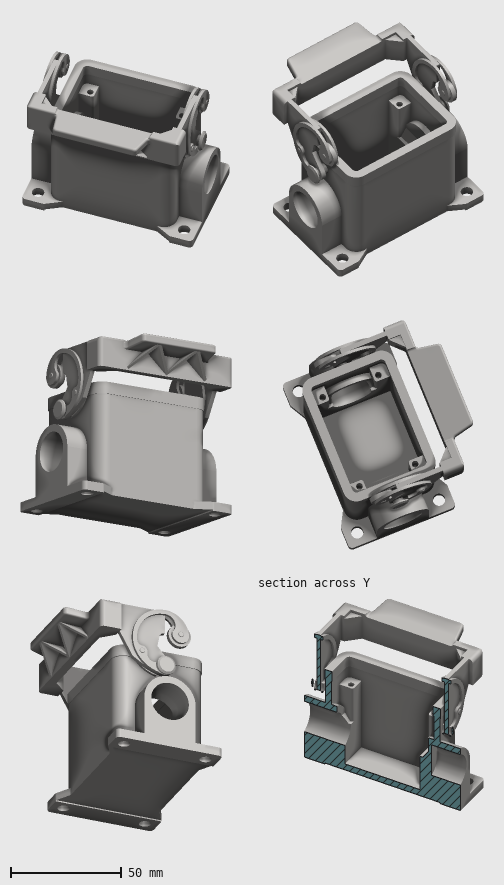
import cadquery as cq
import math

LENGTH_X = 82.0
PAD_DEPTH_Y = 52.0
PAD_TOP_Z = 4.2
PAD_FOOT_X = 30.0
PAD_SHOULDER_X = 30.25
PAD_CORNER_RADIUS = 2.0
PAD_WAIST_X = 22.65
MOUNT_HOLE_X = 35.1
MOUNT_HOLE_Y = 20.0
MOUNT_HOLE_DIAMETER = 5.6

BODY_X = 60.2
BODY_Y = 43.6
BODY_BOTTOM_Z = 0.6
BODY_TOP_Z = 53.1
BODY_CORNER_RADIUS = 6.1
RIM_OVERHANG = 0.35
RIM_HEIGHT = 5.5

CAVITY_X = 52.7
CAVITY_Y = 36.0
CAVITY_CORNER_RADIUS = 2.0
CAVITY_RELIEF = 0.4
CAVITY_FLOOR_Z = PAD_TOP_Z
POST_INNER_X = 19.6
POST_INNER_Y = 11.1
POST_TOP_Z = 41.3
POST_EDGE_RADIUS = 1.2
SCREW_X = 22.1
SCREW_Y = 13.6
SCREW_DIAMETER = 3.0
SCREW_DEPTH = 12.0
SCREW_TIP_ANGLE = 118.0

ENTRY_AXIS_Z = 22.8
ENTRY_RADIUS = 12.6
BORE_RADIUS = 9.25
ENTRY_INNER_X = 23.9
RAMP_FOOT_X = 21.1
RAMP_RISE = 4.0
BLIND_BORE_FLOOR = 2.0

PIVOT_Z = 43.1
PIN_RADIUS = 2.5
PIN_HEAD_RADIUS = 4.55
PIN_HEAD_INNER_X = 36.3
PIN_HEAD_OUTER_X = 37.6
PIN_HEAD_CHAMFER_RADIAL = 0.95
PIN_HEAD_CHAMFER_AXIAL = 0.7
PIN_ROOT_X = 29.0

ARM_MID_X = 33.55
ARM_THICKNESS = 2.2
ARM_LOBE_RADIUS = 4.0
ARM_EDGE_Y = 0.2
ARM_NOSE_TOP = (ARM_EDGE_Y, 60.2)
ARM_NOSE_MIDDLE = (-1.6, 59.6)
ARM_NOSE_END = (-2.5, 58.2)
ARM_WAIST = (-3.5, 53.1)
ARM_HEEL_MIDDLE = (-9.8, 42.4)
ARM_HEEL = (-15.7, 45.9)
STRIP_THICKNESS = 1.35
STRIP_TAIL_ANGLE = 268
HOOK_EXIT_ANGLE = -25
ROLLER_ENTRY_ANGLE = 172
STRIP_OUTER_RADIUS = 16.2
STRIP_INNER_RADIUS = 14.1
STRIP_CENTRE_Z = 55.2
HOOK_OUTER_RADIUS = 11.5
STRIP_END_RADIUS = 4.2
STRIP_END_CLEARANCE = 0.3
HOOK_INNER_RADIUS = 4.8
EYE_BLEND_RADIUS = 2.5
NECK_DROP = 1.2
ROLLER_RADIUS = 5.5
ROLLER_Y = 7.5
ROLLER_Z = 60.5
RIVET_Y = -11.5
RIVET_Z = 48.7
RIVET_EYE_RADIUS = 2.5
STRIP_NECK_RADIUS = 3.5
RIVET_RADIUS = 1.35
RIVET_PROUD = 0.35
RIVET_CHAMFER = 0.25

BAR_X = 73.5
BAR_BACK_Y = -22.05
BAR_FRONT_Y = -32.15
BAR_BOTTOM_Z = 57.1
BAR_TOP_Z = 71.15
BAR_WALL_BACK_Y = -27.9
BAR_END_INNER_X = 30.6
BAR_END_RADIUS = 2.1
BAR_FRONT_RADIUS = 1.0
GUSSET_LEG = 5.9
GUSSET_DROP = 1.5

LIP_TILT = 10.0
LIP_ROOT_Z = 70.66
LIP_REACH = 11.05
LIP_THICKNESS = 4.0
LIP_ROOT_HALF_X = 22.2
LIP_END_HALF_X = 20.0
LIP_ROOT_RADIUS = 2.0
LIP_FLARE = 2.1
LIP_CORNER_RADIUS = 1.8
LIP_TOP_RADIUS = 1.0
RECESS_HALF_X = 23.0
RECESS_RADIUS = 1.2
LIP_BOTTOM_RADIUS = 0.8

RIB_THICKNESS = 1.2
RIB_PITCH_X = 10.5
RIB_FOOT_Z = 58.3
RIB_TOE_Z = 57.7
RIB_SLOPE = 47.5
RIB_DRAFT = 6.0
RIB_FOOT_OVERRUN = 0.3

LENGTH_TOLERANCE = 0.001
SIDES = (-1, 1)


def box_between(x0, x1, y0, y1, z0, z1):
    """Axis-aligned box given by its limits."""
    size = (abs(x1 - x0), abs(y1 - y0), abs(z1 - z0))
    corner = (min(x0, x1), min(y0, y1), min(z0, z1))
    return cq.Workplane("XY").box(*size, centered=False).translate(corner)


def rounded_block(size_x, size_y, z0, z1, radius):
    """Centred block with rounded vertical edges."""
    block = box_between(-size_x / 2, size_x / 2, -size_y / 2, size_y / 2, z0, z1)
    return block.edges("|Z").fillet(radius)


def x_cylinder(radius, x0, x1, y, z):
    """Cylinder along X from x0 to x1."""
    plane = cq.Workplane("YZ", origin=(min(x0, x1), y, z))
    return plane.circle(radius).extrude(abs(x1 - x0))


def point_at(centre, radius, angle):
    """Point on a circle, angle in degrees."""
    turn = math.radians(angle)
    return (centre[0] + radius * math.cos(turn), centre[1] + radius * math.sin(turn))


def direction(start, end):
    """Angle in degrees of the line from start to end."""
    return math.degrees(math.atan2(end[1] - start[1], end[0] - start[0]))


def make_pads():
    """Flange plate that widens into four drilled pads, relieved underneath between its ends."""
    half_x = LENGTH_X / 2
    half_y = PAD_DEPTH_Y / 2
    plate = box_between(-half_x, half_x, -half_y, half_y, 0, PAD_TOP_Z)
    for side in SIDES:
        waist = (
            cq.Workplane("XY")
            .moveTo(-PAD_SHOULDER_X, side * half_y)
            .lineTo(-PAD_WAIST_X, side * BODY_Y / 2)
            .lineTo(PAD_WAIST_X, side * BODY_Y / 2)
            .lineTo(PAD_SHOULDER_X, side * half_y)
            .close()
            .extrude(PAD_TOP_Z)
        )
        plate = plate.cut(waist)
    plate = plate.edges("|Z").fillet(PAD_CORNER_RADIUS)
    relief = box_between(-PAD_FOOT_X, PAD_FOOT_X, -half_y, half_y, 0, BODY_BOTTOM_Z)
    holes = (
        cq.Workplane("XY")
        .rect(2 * MOUNT_HOLE_X, 2 * MOUNT_HOLE_Y, forConstruction=True)
        .vertices()
        .circle(MOUNT_HOLE_DIAMETER / 2)
        .extrude(PAD_TOP_Z)
    )
    return plate.cut(relief).cut(holes)


def make_shell():
    """Outside of the body, with an overhanging rim."""
    rim_z = BODY_TOP_Z - RIM_HEIGHT
    body = rounded_block(BODY_X, BODY_Y, BODY_BOTTOM_Z, rim_z, BODY_CORNER_RADIUS)
    rim = rounded_block(
        BODY_X + 2 * RIM_OVERHANG, BODY_Y + 2 * RIM_OVERHANG, rim_z, BODY_TOP_Z, BODY_CORNER_RADIUS
    )
    return body.union(rim)


def make_cavity():
    """Space inside the body, slightly wider below the rim."""
    rim_z = BODY_TOP_Z - RIM_HEIGHT
    mouth = rounded_block(CAVITY_X, CAVITY_Y, rim_z, BODY_TOP_Z, CAVITY_CORNER_RADIUS)
    chamber = rounded_block(
        CAVITY_X + 2 * CAVITY_RELIEF,
        CAVITY_Y + 2 * CAVITY_RELIEF,
        CAVITY_FLOOR_Z,
        rim_z,
        CAVITY_CORNER_RADIUS + CAVITY_RELIEF,
    )
    return mouth.union(chamber)


def make_entry(side):
    """Arched cable entry standing on the pad, reaching from the end face into the cavity."""
    arch = (
        cq.Workplane("YZ")
        .moveTo(-ENTRY_RADIUS, BODY_BOTTOM_Z)
        .lineTo(-ENTRY_RADIUS, ENTRY_AXIS_Z)
        .threePointArc((0, ENTRY_AXIS_Z + ENTRY_RADIUS), (ENTRY_RADIUS, ENTRY_AXIS_Z))
        .lineTo(ENTRY_RADIUS, BODY_BOTTOM_Z)
        .close()
        .extrude(side * (LENGTH_X / 2 - ENTRY_INNER_X))
    )
    return arch.translate((side * ENTRY_INNER_X, 0, 0))


def make_post(side_x, side_y):
    """Corner post for a contact-insert screw, with a drilled hole."""
    post = box_between(
        side_x * POST_INNER_X,
        side_x * (CAVITY_X / 2 + CAVITY_RELIEF),
        side_y * POST_INNER_Y,
        side_y * (CAVITY_Y / 2 + CAVITY_RELIEF),
        CAVITY_FLOOR_Z,
        POST_TOP_Z,
    )
    inner_corner = cq.selectors.NearestToPointSelector(
        (side_x * POST_INNER_X, side_y * POST_INNER_Y, (CAVITY_FLOOR_Z + POST_TOP_Z) / 2)
    )
    post = post.edges("|Z").edges(inner_corner).fillet(POST_EDGE_RADIUS)
    radius = SCREW_DIAMETER / 2
    tip = radius / math.tan(math.radians(SCREW_TIP_ANGLE / 2))
    drill = (
        cq.Workplane("XZ")
        .moveTo(0, POST_TOP_Z)
        .lineTo(radius, POST_TOP_Z)
        .lineTo(radius, POST_TOP_Z - SCREW_DEPTH)
        .lineTo(0, POST_TOP_Z - SCREW_DEPTH - tip)
        .close()
        .revolve(360, (0, 0), (0, 1))
    )
    return post.cut(drill.translate((side_x * SCREW_X, side_y * SCREW_Y, 0)))


def make_ramp(side):
    """Block between two posts whose top ramps up to the cable entry."""
    return (
        cq.Workplane("XZ", origin=(0, POST_INNER_Y + POST_EDGE_RADIUS, 0))
        .moveTo(side * POST_INNER_X, CAVITY_FLOOR_Z)
        .lineTo(side * POST_INNER_X, ENTRY_AXIS_Z)
        .lineTo(side * RAMP_FOOT_X, ENTRY_AXIS_Z)
        .lineTo(side * ENTRY_INNER_X, ENTRY_AXIS_Z + RAMP_RISE)
        .lineTo(side * ENTRY_INNER_X, CAVITY_FLOOR_Z)
        .close()
        .extrude(2 * (POST_INNER_Y + POST_EDGE_RADIUS))
    )


def make_housing():
    """Hollow body with its flange, cable entries, ramps and screw posts."""
    housing = make_shell().union(make_pads()).cut(make_cavity())
    for side in SIDES:
        housing = housing.union(make_entry(side)).union(make_ramp(side))
        for side_y in SIDES:
            housing = housing.union(make_post(side, side_y))
    open_bore = x_cylinder(BORE_RADIUS, POST_INNER_X, LENGTH_X / 2, 0, ENTRY_AXIS_Z)
    blind_end = -ENTRY_INNER_X - BLIND_BORE_FLOOR
    blind_bore = x_cylinder(BORE_RADIUS, -LENGTH_X / 2, blind_end, 0, ENTRY_AXIS_Z)
    return housing.cut(open_bore).cut(blind_bore)


def make_pin():
    """Pivot pin with a chamfered head, standing on the body's end wall."""
    rim_x = PIN_HEAD_OUTER_X - PIN_HEAD_CHAMFER_AXIAL
    return (
        cq.Workplane("XY")
        .moveTo(PIN_ROOT_X, 0)
        .lineTo(PIN_ROOT_X, PIN_RADIUS)
        .lineTo(PIN_HEAD_INNER_X, PIN_RADIUS)
        .lineTo(PIN_HEAD_INNER_X, PIN_HEAD_RADIUS)
        .lineTo(rim_x, PIN_HEAD_RADIUS)
        .lineTo(PIN_HEAD_OUTER_X, PIN_HEAD_RADIUS - PIN_HEAD_CHAMFER_RADIAL)
        .lineTo(PIN_HEAD_OUTER_X, 0)
        .close()
        .revolve(360, (0, 0), (1, 0))
        .translate((0, 0, PIVOT_Z))
    )


def make_arm_plate():
    """Central plate from the pivot up to the crossbar."""
    lobe_radius = ARM_LOBE_RADIUS
    pivot = (0, PIVOT_Z)
    lobe_start = 45
    lobe_end = -90
    flank = point_at(pivot, lobe_radius, lobe_start)
    return (
        cq.Workplane("YZ", origin=(ARM_MID_X - ARM_THICKNESS / 2, 0, 0))
        .moveTo(ARM_EDGE_Y, BAR_TOP_Z)
        .lineTo(*ARM_NOSE_TOP)
        .threePointArc(ARM_NOSE_MIDDLE, ARM_NOSE_END)
        .lineTo(*ARM_WAIST)
        .lineTo(*flank)
        .threePointArc(
            point_at(pivot, lobe_radius, (lobe_start + lobe_end) / 2),
            point_at(pivot, lobe_radius, lobe_end),
        )
        .threePointArc(ARM_HEEL_MIDDLE, ARM_HEEL)
        .lineTo(BAR_BACK_Y, BAR_BOTTOM_Z)
        .lineTo(BAR_BACK_Y - BAR_END_RADIUS, BAR_BOTTOM_Z)
        .lineTo(BAR_BACK_Y - BAR_END_RADIUS, BAR_TOP_Z)
        .close()
        .extrude(ARM_THICKNESS)
    )


def make_strip_outline():
    """Hooked strip profile, solid from the roller end round to the pivot pin."""
    centre = (0, STRIP_CENTRE_Z)
    roller = (ROLLER_Y, ROLLER_Z)
    outer_hook = (0, STRIP_CENTRE_Z + STRIP_OUTER_RADIUS - HOOK_OUTER_RADIUS)
    inner_hook = (0, STRIP_CENTRE_Z + STRIP_INNER_RADIUS - HOOK_INNER_RADIUS)
    eye = (RIVET_Y, RIVET_Z)
    eye_blend = (RIVET_Y, RIVET_Z + RIVET_EYE_RADIUS + EYE_BLEND_RADIUS)
    neck = (RIVET_Y + RIVET_EYE_RADIUS + STRIP_NECK_RADIUS, RIVET_Z - NECK_DROP)

    roller_out = direction(outer_hook, roller)
    tail = point_at(centre, STRIP_OUTER_RADIUS, STRIP_TAIL_ANGLE)
    blend_start = (-math.sqrt(STRIP_INNER_RADIUS**2 - (eye_blend[1] - STRIP_CENTRE_Z) ** 2), eye_blend[1])
    return (
        cq.Workplane("YZ")
        .moveTo(*tail)
        .threePointArc(point_at(centre, STRIP_OUTER_RADIUS, 180), point_at(centre, STRIP_OUTER_RADIUS, 90))
        .threePointArc(
            point_at(outer_hook, HOOK_OUTER_RADIUS, (90 + roller_out) / 2),
            point_at(outer_hook, HOOK_OUTER_RADIUS, roller_out),
        )
        .threePointArc(
            point_at(roller, STRIP_END_RADIUS, 270),
            point_at(roller, STRIP_END_RADIUS, ROLLER_ENTRY_ANGLE),
        )
        .lineTo(*point_at(inner_hook, HOOK_INNER_RADIUS, HOOK_EXIT_ANGLE))
        .threePointArc(
            point_at(inner_hook, HOOK_INNER_RADIUS, (90 + HOOK_EXIT_ANGLE) / 2),
            point_at(inner_hook, HOOK_INNER_RADIUS, 90),
        )
        .threePointArc(point_at(centre, STRIP_INNER_RADIUS, 135), blend_start)
        .threePointArc(
            point_at(eye_blend, EYE_BLEND_RADIUS, 225), point_at(eye_blend, EYE_BLEND_RADIUS, 270)
        )
        .threePointArc(point_at(eye, RIVET_EYE_RADIUS, 45), point_at(eye, RIVET_EYE_RADIUS, 0))
        .lineTo(*point_at(neck, STRIP_NECK_RADIUS, 180))
        .threePointArc(
            point_at(neck, STRIP_NECK_RADIUS, 225), point_at(neck, STRIP_NECK_RADIUS, 270)
        )
        .lineTo(0, neck[1] - STRIP_NECK_RADIUS)
        .close()
    )


def make_strips():
    """Strips on both faces of the arm plate, ending clear of the pivot pin head."""
    inner_x = ARM_MID_X - ARM_THICKNESS / 2 - STRIP_THICKNESS
    outer_x = ARM_MID_X + ARM_THICKNESS / 2
    outline = make_strip_outline().extrude(STRIP_THICKNESS)
    strips = outline.translate((inner_x, 0, 0)).union(outline.translate((outer_x, 0, 0)))
    clearance = x_cylinder(
        PIN_HEAD_RADIUS + STRIP_END_CLEARANCE, inner_x, outer_x + STRIP_THICKNESS, 0, PIVOT_Z
    )
    return strips.cut(clearance)


def make_rivet(y, z):
    """Rivet through the strips, slightly proud of both."""
    half_length = ARM_THICKNESS / 2 + STRIP_THICKNESS + RIVET_PROUD
    rivet = x_cylinder(RIVET_RADIUS, ARM_MID_X - half_length, ARM_MID_X + half_length, y, z)
    return rivet.faces("<X or >X").chamfer(RIVET_CHAMFER)


def make_arm():
    """Pivot pin, plate, strips, roller and rivets of the +X arm."""
    roller = x_cylinder(
        ROLLER_RADIUS, ARM_MID_X - ARM_THICKNESS / 2, ARM_MID_X + ARM_THICKNESS / 2, ROLLER_Y, ROLLER_Z
    )
    arm = make_arm_plate().union(make_strips()).union(roller).union(make_pin())
    arm = arm.union(make_rivet(ROLLER_Y, ROLLER_Z))
    return arm.union(make_rivet(RIVET_Y, RIVET_Z))


def make_bar():
    """Crossbar with rounded outer edges, a U shape in plan with corner gussets."""
    limits = (-BAR_X / 2, BAR_X / 2, BAR_FRONT_Y, BAR_BACK_Y, BAR_BOTTOM_Z, BAR_TOP_Z)
    bar = box_between(*limits).edges("|Z and <Y").fillet(BAR_END_RADIUS)
    end_round = box_between(*limits).edges("|Y and >Z").fillet(BAR_END_RADIUS)
    front_round = box_between(*limits).edges("|X and >Z and <Y").fillet(BAR_FRONT_RADIUS)
    bar = bar.intersect(end_round).intersect(front_round)
    bar = bar.cut(
        box_between(
            -BAR_END_INNER_X, BAR_END_INNER_X, BAR_WALL_BACK_Y, BAR_BACK_Y, BAR_BOTTOM_Z, BAR_TOP_Z
        )
    )
    for side in SIDES:
        gusset = (
            cq.Workplane("XY", origin=(0, 0, BAR_BOTTOM_Z))
            .moveTo(side * BAR_END_INNER_X, BAR_WALL_BACK_Y)
            .lineTo(side * (BAR_END_INNER_X - GUSSET_LEG), BAR_WALL_BACK_Y)
            .lineTo(side * BAR_END_INNER_X, BAR_BACK_Y)
            .close()
            .extrude(BAR_TOP_Z - GUSSET_DROP - BAR_BOTTOM_Z)
        )
        bar = bar.union(gusset)
    return bar


def lip_slope():
    """Rise of the lip per unit of reach."""
    return math.tan(math.radians(LIP_TILT))


def lip_top_z(y):
    """Height of the lip's sloping top plane."""
    return LIP_ROOT_Z + (BAR_FRONT_Y - y) * lip_slope()


def lip_drop():
    """Vertical distance between the lip's top and bottom planes."""
    return LIP_THICKNESS / math.cos(math.radians(LIP_TILT))


def make_lip_slab():
    """Sloping slab of the lip's thickness, running from the crossbar's back wall outward."""
    end_y = BAR_FRONT_Y - LIP_REACH
    drop = lip_drop()
    return (
        cq.Workplane("YZ", origin=(-BAR_X / 2, 0, 0))
        .moveTo(BAR_WALL_BACK_Y, lip_top_z(BAR_WALL_BACK_Y))
        .lineTo(end_y, lip_top_z(end_y))
        .lineTo(end_y, lip_top_z(end_y) - drop)
        .lineTo(BAR_WALL_BACK_Y, lip_top_z(BAR_WALL_BACK_Y) - drop)
        .close()
        .extrude(BAR_X)
    )


def make_lip():
    """Tilted finger lip, flared where it meets the crossbar."""
    flare_half_x = LIP_ROOT_HALF_X + LIP_FLARE
    end_y = BAR_FRONT_Y - LIP_REACH
    inset_y = (BAR_FRONT_Y + BAR_WALL_BACK_Y) / 2
    plan = (
        cq.Workplane("XY", origin=(0, 0, BAR_BOTTOM_Z))
        .moveTo(-flare_half_x, inset_y)
        .lineTo(-flare_half_x, BAR_FRONT_Y)
        .lineTo(-LIP_ROOT_HALF_X, BAR_FRONT_Y)
        .lineTo(-LIP_END_HALF_X, end_y)
        .lineTo(LIP_END_HALF_X, end_y)
        .lineTo(LIP_ROOT_HALF_X, BAR_FRONT_Y)
        .lineTo(flare_half_x, BAR_FRONT_Y)
        .lineTo(flare_half_x, inset_y)
        .close()
        .extrude(2 * (BAR_TOP_Z - BAR_BOTTOM_Z))
    )
    plan = plan.edges("|Z and <Y").fillet(LIP_CORNER_RADIUS)
    for side in SIDES:
        root = cq.selectors.NearestToPointSelector((side * LIP_ROOT_HALF_X, BAR_FRONT_Y, BAR_TOP_Z))
        plan = plan.edges("|Z").edges(root).fillet(LIP_ROOT_RADIUS)
    lip = plan.intersect(make_lip_slab())
    lip = round_lip_outline(lip, 0, LIP_TOP_RADIUS)
    return round_lip_outline(lip, lip_drop(), LIP_BOTTOM_RADIUS)


def round_lip_outline(lip, offset, radius):
    """Fillet the free outline of the lip's face lying the given height below its top plane."""
    outline = []
    for edge in lip.edges().vals():
        middle = edge.Center()
        on_face = abs(lip_top_z(middle.y) - offset - middle.z) < LENGTH_TOLERANCE
        if on_face and middle.y < BAR_FRONT_Y - LENGTH_TOLERANCE:
            outline.append(edge)
    return lip.newObject(outline).fillet(radius)


def make_lip_recess():
    """Trough in the crossbar's top where the lip's top plane runs back through it."""
    high_z = 2 * BAR_TOP_Z - BAR_BOTTOM_Z
    trough = (
        cq.Workplane("YZ", origin=(-RECESS_HALF_X, 0, 0))
        .moveTo(BAR_BACK_Y, lip_top_z(BAR_BACK_Y))
        .lineTo(BAR_FRONT_Y - LIP_REACH, lip_top_z(BAR_FRONT_Y - LIP_REACH))
        .lineTo(BAR_FRONT_Y - LIP_REACH, high_z)
        .lineTo(BAR_BACK_Y, high_z)
        .close()
        .extrude(2 * RECESS_HALF_X)
    )
    return trough.faces("<Z").edges("<X or >X").fillet(RECESS_RADIUS)


def make_leaning_rib(foot_x):
    """Rib rising at 45 degrees toward +X, cut off along a slope and drafted below that cut."""
    lean = 45
    rise = math.tan(math.radians(RIB_SLOPE))
    draft = math.tan(math.radians(RIB_DRAFT))
    half = RIB_THICKNESS / 2

    def section(distance):
        """Rib section at a distance along the rib from its foot."""
        cut_depth = distance * math.sin(math.radians(lean)) / rise
        root_z = -half - cut_depth * draft
        points = (
            (BAR_FRONT_Y, half),
            (BAR_FRONT_Y - LIP_REACH, half),
            (BAR_FRONT_Y - LIP_REACH, root_z + LIP_REACH * draft),
            (BAR_FRONT_Y, root_z),
        )
        return cq.Wire.makePolygon([cq.Vector(distance, y, z) for y, z in points], close=True)

    rib_solid = cq.Solid.makeLoft([section(-RIB_FOOT_OVERRUN), section(2 * RIB_PITCH_X)], True)
    slab = (
        cq.Workplane(rib_solid)
        .rotate((0, 0, 0), (0, 1, 0), -lean)
        .translate((foot_x, 0, RIB_FOOT_Z))
    )
    mid_z = lip_top_z(BAR_FRONT_Y) - LIP_THICKNESS / 2
    reach = (mid_z - RIB_TOE_Z) / (rise - lip_slope())
    window = (
        cq.Workplane("YZ", origin=(foot_x - RIB_PITCH_X, 0, 0))
        .moveTo(BAR_FRONT_Y, RIB_TOE_Z)
        .lineTo(BAR_FRONT_Y - reach, RIB_TOE_Z + reach * rise)
        .lineTo(BAR_FRONT_Y, mid_z)
        .close()
        .extrude(2 * RIB_PITCH_X)
    )
    return slab.intersect(window)


def make_ribs():
    """Four ribs in a zigzag between crossbar and lip."""
    leaning = make_leaning_rib(-2 * RIB_PITCH_X).union(make_leaning_rib(0))
    return leaning.union(leaning.mirror("YZ"))


def make_lever():
    """Crossbar, lip and ribs carried by a pair of mirrored arms."""
    bar = make_bar().union(make_lip()).cut(make_lip_recess()).union(make_ribs())
    arm = make_arm()
    return bar.union(arm).union(arm.mirror("YZ"))


result = make_housing().union(make_lever())